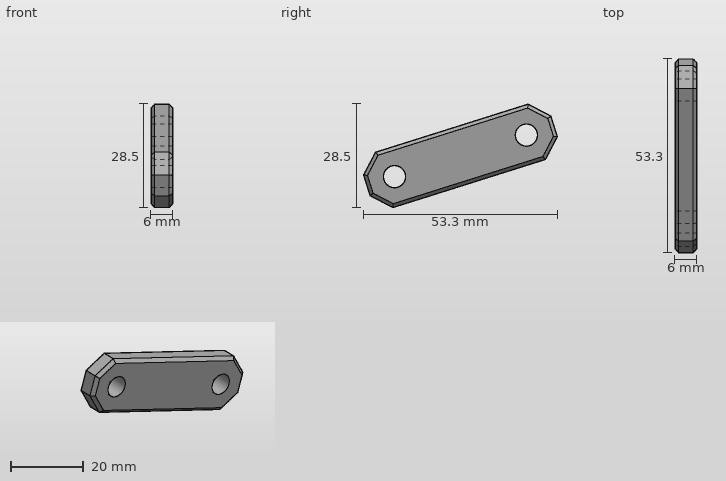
import cadquery as cq
import math

span_y = 53.3
tilt = 17.5
thickness = 6.0
width = 16.0
corner_cut = 5.0
edge_chamfer = 1.0
hole_diameter = 6.0
hole_spacing = 38.0

end_width = width - 2 * corner_cut
tilt_angle = math.radians(tilt)
length = (span_y - end_width * math.sin(tilt_angle)) / math.cos(tilt_angle)


def link_body():
    """Octagonal plate, centred on the origin, with both faces bevelled."""
    plate = cq.Workplane("YZ").box(length, width, thickness)
    plate = plate.edges("|X").chamfer(corner_cut)
    return plate.faces("<X or >X").edges().chamfer(edge_chamfer)


def pin_holes():
    """Cutters for the through holes near the two ends."""
    return (
        cq.Workplane("YZ")
        .pushPoints([(-hole_spacing / 2, 0), (hole_spacing / 2, 0)])
        .circle(hole_diameter / 2)
        .extrude(thickness, both=True)
    )


link = link_body().cut(pin_holes())
result = link.rotate((0, 0, 0), (1, 0, 0), tilt)